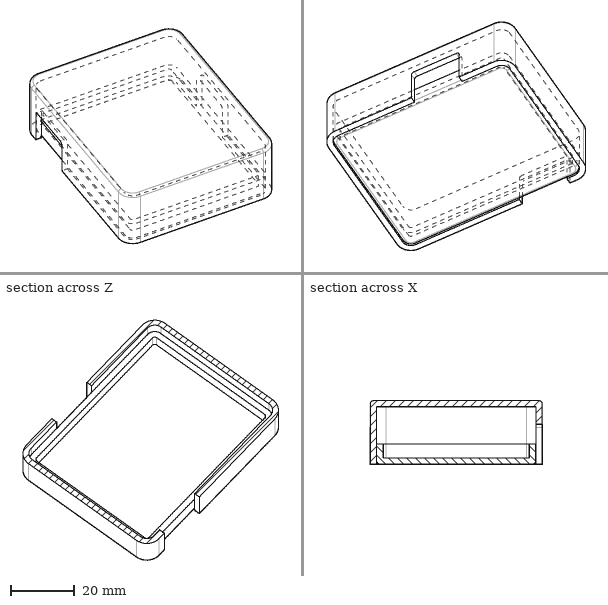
import cadquery as cq

length = 67.0
width = 54.0
height = 20.0

wall = 2.0
corner_radius = 5.0
edge_radius = 1.0
cavity_length = length - 2 * wall
cavity_width = width - 2 * wall
cavity_radius = corner_radius - wall

opening_width = 17.1
opening_corner_radius = 1.0
front_opening_top = 11.5
back_opening_top = front_opening_top + opening_corner_radius
front_opening_left = 7.7
back_opening_left = 17.5

clearance = 0.1
tray_length = cavity_length - 2 * clearance
tray_width = cavity_width - 2 * clearance
tray_radius = cavity_radius - clearance
tray_height = 6.4
tray_wall = 2.0
tray_floor = 2.0


def rounded_block(size_x, size_y, size_z, radius, base_z=0.0):
    """Block centred in X and Y with rounded upright corners, standing on base_z."""
    block = cq.Workplane("XY", origin=(0, 0, base_z)).rect(size_x, size_y).extrude(size_z)
    return block.edges("|Z").fillet(radius)


def wall_opening(left_offset, top, wall_y):
    """Cutter for an opening with rounded top corners, running down to the underside of a wall."""
    cut_depth = 2 * wall
    centre_x = -length / 2 + left_offset + opening_width / 2
    cutter = cq.Workplane("XY", origin=(centre_x, wall_y, 0))
    cutter = cutter.rect(opening_width, cut_depth).extrude(top)
    return cutter.edges("|Y and >Z").fillet(opening_corner_radius)


def make_cover():
    """Five-sided shell, open underneath, with one opening in each long wall."""
    shell = rounded_block(length, width, height, corner_radius)
    shell = shell.faces(">Z").edges().fillet(edge_radius)
    shell = shell.cut(rounded_block(cavity_length, cavity_width, height - wall, cavity_radius))
    shell = shell.cut(wall_opening(front_opening_left, front_opening_top, -width / 2))
    return shell.cut(wall_opening(back_opening_left, back_opening_top, width / 2))


def make_tray():
    """Shallow open tray with a rounded bottom edge, fitting inside the cover's walls."""
    body = rounded_block(tray_length, tray_width, tray_height, tray_radius)
    body = body.faces("<Z").edges().fillet(edge_radius)
    pocket = rounded_block(
        tray_length - 2 * tray_wall,
        tray_width - 2 * tray_wall,
        tray_height - tray_floor,
        tray_radius - tray_wall,
        tray_floor,
    )
    return body.cut(pocket)


cover = make_cover()
tray = make_tray()

result = cq.Compound.makeCompound([cover.val(), tray.val()])